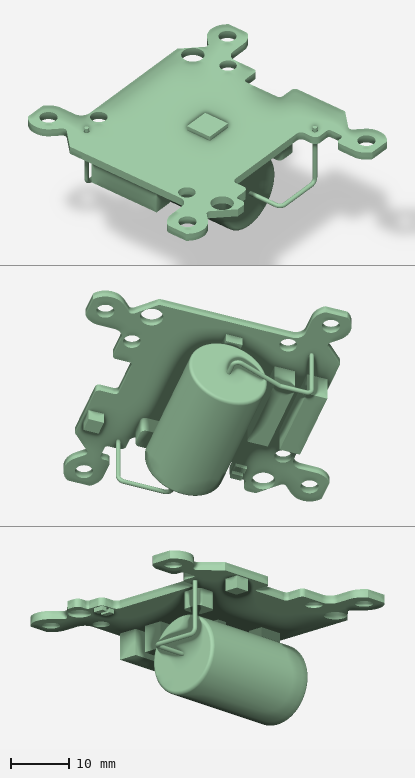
import cadquery as cq
import math

BOARD_SPAN = 52.85
OVERALL_HEIGHT = 18.9
BOARD_THICKNESS = 1.5
HALF_SPAN = BOARD_SPAN / 2

BODY_HALF = 18.75
CORNER_CUT = 3.5
CORNER_START = BODY_HALF - CORNER_CUT
CORNER_SUM = BODY_HALF + CORNER_START

LUG_RADIUS = 3.55
LUG_X = -14.25
LUG_EDGE_DISTANCE = 2.9
LUG_Y = HALF_SPAN - LUG_EDGE_DISTANCE
NECK_FLAT = 0.65
NECK_FILLET = 0.75
ROOT_FILLET = 1.85

ARM_INNER_X = LUG_X + LUG_RADIUS
TANGENT_OFFSET = LUG_RADIUS * math.sqrt(0.5)
TANGENT_X = LUG_X - TANGENT_OFFSET
TANGENT_Y = LUG_Y - TANGENT_OFFSET
NECK_X = (TANGENT_X + TANGENT_Y - CORNER_SUM) / 2
NECK_Y = NECK_X + CORNER_SUM
NECK_FLAT_X = NECK_X - NECK_FLAT / 2

LUG_HOLE = 3.1
LARGE_HOLE = 4.0
LARGE_HOLE_OFFSET = 15.55
SIDE_HOLE = 3.0
SIDE_HOLE_X = -8.8
SIDE_HOLE_Y = 16.8

NOTCH_LEFT = -3.95
NOTCH_RIGHT = 4.1
NOTCH_FLOOR = 14.9
CUTOUT_X = 12.85
CUTOUT_HALF = 9.4
STEP_X = 16.4
STEP_END_X = 19.65
STEP_HALF = 12.85
NOTCH_FILLET = 0.75
CUTOUT_FILLET = 1.0
STEP_FILLET = 0.5
LUG_FILLET = 0.8

CHIP_SIDE = 5.0
CHIP_HEIGHT = 0.9
RELAY_LEFT = -11.25
RELAY_LENGTH = 14.25
RELAY_WIDTH = 3.7
RELAY_HEIGHT = 4.75
RELAY_YS = (-10.15, -16.0)
PACKAGE_LENGTH = 4.6
PACKAGE_WIDTH = 2.95
PACKAGE_HEIGHT = 1.7
PACKAGE_Y = 0.65
CONNECTOR_SIDE = 2.75
CONNECTOR_HEIGHT = 2.2
CONNECTOR_X = 10.55
CONNECTOR_Y = 17.0
BUTTON_SIDE = 4.0
BUTTON_HEIGHT = 3.1
BUTTON_CORNER = 0.9
BUTTON_X = 9.8
BUTTON_Y = 7.25
SMALL_LENGTH = 2.0
SMALL_WIDTH = 1.1
SMALL_HEIGHT = 0.75
SMALL_PAIR_XS = (13.65, 15.5)
SMALL_PAIR_Y = -10.7
SMALL_SINGLE_X = -4.1
SMALL_SINGLE_Y = -1.0

CAP_DIAMETER = 14.2
CAP_LEFT = -16.0
CAP_LENGTH = 24.0
CAP_FILLET = 0.6
CAP_Y = 1.7
CAP_Z = BOARD_THICKNESS + CHIP_HEIGHT - OVERALL_HEIGHT + CAP_DIAMETER / 2

LEAD_DIAMETER = 0.8
LEAD_HOLE = 1.0
LEAD_BEND = 1.0
LEAD_PROTRUSION = 0.75
LEAD_TOP = BOARD_THICKNESS + LEAD_PROTRUSION
LEFT_PIN = (-15.85, -13.4)
RIGHT_PIN = (14.75, 11.1)
LEFT_LEAD_REACH = -19.35
LEFT_LEAD_KINK_Y = -7.65


def block(x_min, x_max, y_min, y_max, height=BOARD_THICKNESS):
    """Box standing on Z = 0, or hanging below it when the height is negative."""
    return (
        cq.Workplane("XY")
        .moveTo((x_min + x_max) / 2, (y_min + y_max) / 2)
        .rect(x_max - x_min, y_max - y_min)
        .extrude(height)
    )


def centred_block(x, y, length, width, height):
    return block(x - length / 2, x + length / 2, y - width / 2, y + width / 2, height)


def hole(x, y, diameter):
    return cq.Workplane("XY").moveTo(x, y).circle(diameter / 2).extrude(BOARD_THICKNESS)


def fillet_corners(body, corners, radius):
    """Round the upright edges that stand at the given corners of an outline."""
    for x, y in corners:
        body = body.edges(cq.NearestToPointSelector((x, y, BOARD_THICKNESS / 2))).fillet(radius)
    return body


def quarter_turned(body, turns):
    return body.rotate((0, 0, 0), (0, 0, 1), 90 * turns)


def turned_point(x, y, turns):
    """Point moved by a number of quarter turns about the board's centre."""
    for _ in range(turns):
        x, y = -y, x
    return x, y


def arm():
    """The +Y arm: a round lug trimmed by the board's outer edge, and its neck."""
    lug = cq.Workplane("XY").moveTo(LUG_X, LUG_Y).circle(LUG_RADIUS).extrude(BOARD_THICKNESS)
    lug = lug.intersect(block(-HALF_SPAN, HALF_SPAN, -HALF_SPAN, HALF_SPAN))
    neck = (
        cq.Workplane("XY")
        .polyline([
            (TANGENT_X, TANGENT_Y),
            (NECK_FLAT_X, NECK_Y + NECK_FLAT / 2),
            (NECK_FLAT_X, NECK_Y - NECK_FLAT / 2),
            (CORNER_START - CORNER_SUM, CORNER_START),
            (ARM_INNER_X, CORNER_START),
            (ARM_INNER_X, LUG_Y),
            (LUG_X, LUG_Y),
        ])
        .close()
        .extrude(BOARD_THICKNESS)
    )
    return lug.union(neck)


def make_plate():
    """Board outline without holes."""
    body = block(-BODY_HALF, BODY_HALF, -BODY_HALF, BODY_HALF)
    plate = body.edges("|Z").chamfer(CORNER_CUT)
    for turns in range(4):
        plate = plate.union(quarter_turned(arm(), turns))
    plate = plate.clean()

    plate = plate.cut(block(CUTOUT_X, STEP_END_X, -CUTOUT_HALF, CUTOUT_HALF))
    plate = plate.cut(block(STEP_X, STEP_END_X, -STEP_HALF, STEP_HALF))
    plate = plate.cut(block(NOTCH_LEFT, NOTCH_RIGHT, NOTCH_FLOOR, BODY_HALF))

    for turns in range(4):
        for side in (-1, 1):
            neck = turned_point(NECK_FLAT_X, NECK_Y + side * NECK_FLAT / 2, turns)
            plate = fillet_corners(plate, [neck], NECK_FILLET)
    roots = [turned_point(ARM_INNER_X, BODY_HALF, turns) for turns in range(3)]
    plate = fillet_corners(plate, roots, ROOT_FILLET)

    notch_corners = [(x, y) for x in (NOTCH_LEFT, NOTCH_RIGHT) for y in (NOTCH_FLOOR, BODY_HALF)]
    plate = fillet_corners(plate, notch_corners, NOTCH_FILLET)
    cutout_corners = [(x, y) for x in (CUTOUT_X, STEP_X) for y in (-CUTOUT_HALF, CUTOUT_HALF)]
    cutout_corners.append((BODY_HALF, -STEP_HALF))
    plate = fillet_corners(plate, cutout_corners, CUTOUT_FILLET)
    plate = fillet_corners(plate, [(STEP_X, -STEP_HALF), (STEP_X, STEP_HALF)], STEP_FILLET)
    lug_corners = [(STEP_END_X, STEP_HALF), (STEP_END_X, -ARM_INNER_X)]
    return fillet_corners(plate, lug_corners, LUG_FILLET)


def drill_plate(plate):
    """Drill four lug holes, three holes by the arm roots, two large corner holes and two for the leads."""
    for turns in range(4):
        plate = plate.cut(hole(*turned_point(LUG_X, LUG_Y, turns), LUG_HOLE))
    for turns in range(3):
        plate = plate.cut(hole(*turned_point(SIDE_HOLE_X, SIDE_HOLE_Y, turns), SIDE_HOLE))
    for turns in (0, 2):
        corner = turned_point(-LARGE_HOLE_OFFSET, LARGE_HOLE_OFFSET, turns)
        plate = plate.cut(hole(*corner, LARGE_HOLE))
    for pin in (LEFT_PIN, RIGHT_PIN):
        plate = plate.cut(hole(*pin, LEAD_HOLE))
    return plate


def add_components(board):
    """Add the chip on top of the board and the parts that hang below it."""
    board = board.union(centred_block(0, 0, CHIP_SIDE, CHIP_SIDE, BOARD_THICKNESS + CHIP_HEIGHT))
    for y in RELAY_YS:
        relay_x = RELAY_LEFT + RELAY_LENGTH / 2
        board = board.union(centred_block(relay_x, y, RELAY_LENGTH, RELAY_WIDTH, -RELAY_HEIGHT))
    package_x = RELAY_LEFT - PACKAGE_LENGTH / 2
    board = board.union(
        centred_block(package_x, PACKAGE_Y, PACKAGE_LENGTH, PACKAGE_WIDTH, -PACKAGE_HEIGHT)
    )
    board = board.union(
        centred_block(CONNECTOR_X, CONNECTOR_Y, CONNECTOR_SIDE, CONNECTOR_SIDE, -CONNECTOR_HEIGHT)
    )
    button = centred_block(BUTTON_X, BUTTON_Y, BUTTON_SIDE, BUTTON_SIDE, -BUTTON_HEIGHT)
    board = board.union(button.edges("|Z").fillet(BUTTON_CORNER))
    for x in SMALL_PAIR_XS:
        board = board.union(
            centred_block(x, SMALL_PAIR_Y, SMALL_WIDTH, SMALL_LENGTH, -SMALL_HEIGHT)
        )
    return board.union(
        centred_block(SMALL_SINGLE_X, SMALL_SINGLE_Y, SMALL_LENGTH, SMALL_WIDTH, -SMALL_HEIGHT)
    )


def make_capacitor():
    return (
        cq.Workplane("YZ", origin=(CAP_LEFT, CAP_Y, CAP_Z))
        .circle(CAP_DIAMETER / 2)
        .extrude(CAP_LENGTH)
        .edges("%CIRCLE")
        .fillet(CAP_FILLET)
    )


def make_lead(corners):
    """Sweep a round wire along straight runs, with an arc of one radius at every inner corner."""
    points = [cq.Vector(*corner) for corner in corners]
    edges = []
    run_start = points[0]
    for before, corner, after in zip(points, points[1:], points[2:]):
        back = (before - corner).normalized()
        ahead = (after - corner).normalized()
        half_angle = back.getAngle(ahead) / 2
        bend_start = corner + back * (LEAD_BEND / math.tan(half_angle))
        bend_end = corner + ahead * (LEAD_BEND / math.tan(half_angle))
        inward = (back + ahead).normalized()
        bend_middle = corner + inward * (LEAD_BEND / math.sin(half_angle) - LEAD_BEND)
        edges.append(cq.Edge.makeLine(run_start, bend_start))
        edges.append(cq.Edge.makeThreePointArc(bend_start, bend_middle, bend_end))
        run_start = bend_end
    edges.append(cq.Edge.makeLine(run_start, points[-1]))
    path = cq.Wire.assembleEdges(edges)
    return cq.Workplane("YZ", origin=corners[0]).circle(LEAD_DIAMETER / 2).sweep(path)


board = add_components(drill_plate(make_plate()))
capacitor = make_capacitor()
left_lead = make_lead([
    (CAP_LEFT, CAP_Y, CAP_Z),
    (LEFT_LEAD_REACH, CAP_Y, CAP_Z),
    (LEFT_PIN[0], LEFT_LEAD_KINK_Y, CAP_Z),
    (*LEFT_PIN, CAP_Z),
    (*LEFT_PIN, LEAD_TOP),
])
right_lead = make_lead([
    (CAP_LEFT + CAP_LENGTH, CAP_Y, CAP_Z),
    (RIGHT_PIN[0], CAP_Y, CAP_Z),
    (*RIGHT_PIN, CAP_Z),
    (*RIGHT_PIN, LEAD_TOP),
])
result = cq.Compound.makeCompound([board.val(), capacitor.val(), left_lead.val(), right_lead.val()])